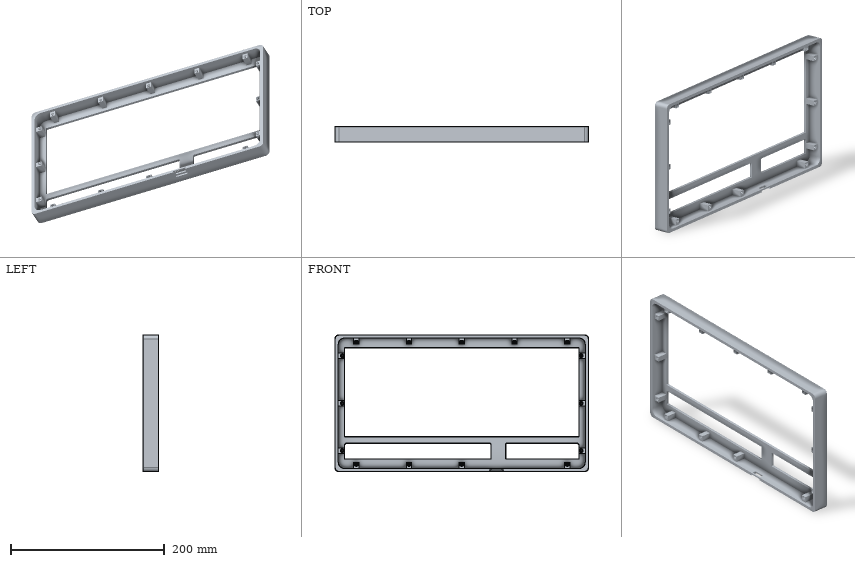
import cadquery as cq

LENGTH = 329.8
DEPTH = 20.5
HEIGHT = 177.8
END_WALL = 4.0
SIDE_WALL = 4.3
PLATE = 3.3
OUTER_RADIUS = 5.3
INNER_RADIUS = 8.5
BACK_FILLET = 1.0

FRONT_Y = -DEPTH / 2
BACK_Y = DEPTH / 2
PLATE_Y = BACK_Y - PLATE
CAVITY_HALF_X = LENGTH / 2 - SIDE_WALL
CAVITY_HALF_Z = HEIGHT / 2 - END_WALL

OPENING_HALF_X = 152.5
OPENING_HALF_Z = 72.2
SCREEN_BOTTOM = -43.2
SLOT_TOP = -52.0
DIVIDER_LEFT = 38.0
DIVIDER_RIGHT = 57.5
SLOT_OUTER_RADIUS = 2.5
SLOT_INNER_RADIUS = 1.3

BOSS_WIDTH = 7.0
BOSS_REACH = 8.0
BOSS_SETBACK = 4.0
BOSS_Y = FRONT_Y + BOSS_SETBACK
BOSS_PITCH_X = 68.5
BOSS_PITCH_Z = 61.7
HOLE_FROM_WALL = 5.3
COUNTERBORE_DIAMETER = 4.5
COUNTERBORE_DEPTH = 1.0
HOLE_DIAMETER = 2.57
HOLE_DEPTH = 4.0
TIP_DIAMETER = 2.08
TIP_DEPTH = 10.0

PORT_CENTER_X = 45.2
RECESS_WIDTH = 17.8
RECESS_MOUTH = 16.0
RECESS_DEPTH = 2.0
RECESS_LENGTH = 10.0
PORT_WIDTH = 14.5
PORT_SETBACK = 2.0
PORT_LENGTH = 5.0


def block(x0, x1, y0, y1, z0, z1):
    """Box between two opposite corners."""
    return cq.Workplane("XY").box(x1 - x0, y1 - y0, z1 - z0, centered=False).translate((x0, y0, z0))


def shell():
    """Tray with rounded corners, open at the front."""
    body = cq.Workplane("XY").box(LENGTH, DEPTH, HEIGHT).edges("|Y").fillet(OUTER_RADIUS)
    body = body.faces(">Y").edges().fillet(BACK_FILLET)
    cavity = block(-CAVITY_HALF_X, CAVITY_HALF_X, FRONT_Y, PLATE_Y, -CAVITY_HALF_Z, CAVITY_HALF_Z)
    return body.cut(cavity.edges("|Y").fillet(INNER_RADIUS))


def openings():
    """Large screen opening, and two lower slots with rounded top corners."""
    screen = block(-OPENING_HALF_X, OPENING_HALF_X, PLATE_Y, BACK_Y, SCREEN_BOTTOM, OPENING_HALF_Z)
    left = block(-OPENING_HALF_X, DIVIDER_LEFT, PLATE_Y, BACK_Y, -OPENING_HALF_Z, SLOT_TOP)
    left = left.edges("|Y and >Z and <X").fillet(SLOT_OUTER_RADIUS)
    left = left.edges("|Y and >X").edges(">Z").fillet(SLOT_INNER_RADIUS)
    right = block(DIVIDER_RIGHT, OPENING_HALF_X, PLATE_Y, BACK_Y, -OPENING_HALF_Z, SLOT_TOP)
    right = right.edges("|Y and >Z and >X").fillet(SLOT_OUTER_RADIUS)
    right = right.edges("|Y and <X").edges(">Z").fillet(SLOT_INNER_RADIUS)
    return screen.union(left).union(right)


def drill(diameter, depth):
    """Cylinder going back from the boss face, on the hole axis of an unplaced boss."""
    return cq.Workplane("XZ", origin=(0, BOSS_Y, HOLE_FROM_WALL)).circle(diameter / 2).extrude(-depth)


def boss():
    """Boss with a stepped screw hole, standing on a wall at Z = 0 and pointing up."""
    post = block(-BOSS_WIDTH / 2, BOSS_WIDTH / 2, BOSS_Y, PLATE_Y, 0, BOSS_REACH)
    post = post.cut(drill(COUNTERBORE_DIAMETER, COUNTERBORE_DEPTH))
    post = post.cut(drill(HOLE_DIAMETER, HOLE_DEPTH))
    return post.cut(drill(TIP_DIAMETER, TIP_DEPTH))


def placed_boss(x, z, angle):
    """Boss turned about Y by the given angle and moved to its place on a wall."""
    return boss().rotate((0, 0, 0), (0, 1, 0), angle).translate((x, 0, z))


def bosses():
    """All bosses; the bottom row leaves one place free beside the cable port."""
    placed = []
    for column in (-2, -1, 0, 1, 2):
        placed.append(placed_boss(column * BOSS_PITCH_X, CAVITY_HALF_Z, 180))
        if column != 1:
            placed.append(placed_boss(column * BOSS_PITCH_X, -CAVITY_HALF_Z, 0))
    for row in (-1, 0, 1):
        placed.append(placed_boss(-CAVITY_HALF_X, row * BOSS_PITCH_Z, 90))
        placed.append(placed_boss(CAVITY_HALF_X, row * BOSS_PITCH_Z, -90))
    return placed


def cable_port():
    """Undercut outer recess open at the rim, with a slot through the rest of the bottom wall."""
    bottom = -HEIGHT / 2
    profile = [
        (PORT_CENTER_X - RECESS_MOUTH / 2, bottom),
        (PORT_CENTER_X + RECESS_MOUTH / 2, bottom),
        (PORT_CENTER_X + RECESS_WIDTH / 2, bottom + RECESS_DEPTH),
        (PORT_CENTER_X - RECESS_WIDTH / 2, bottom + RECESS_DEPTH),
    ]
    recess = cq.Workplane("XZ", origin=(0, FRONT_Y, 0)).polyline(profile).close().extrude(-RECESS_LENGTH)
    port_y = FRONT_Y + PORT_SETBACK
    slot = block(PORT_CENTER_X - PORT_WIDTH / 2, PORT_CENTER_X + PORT_WIDTH / 2,
                 port_y, port_y + PORT_LENGTH, bottom, bottom + END_WALL)
    return recess.union(slot)


frame = shell().cut(openings())
for screw_boss in bosses():
    frame = frame.union(screw_boss)
result = frame.cut(cable_port())